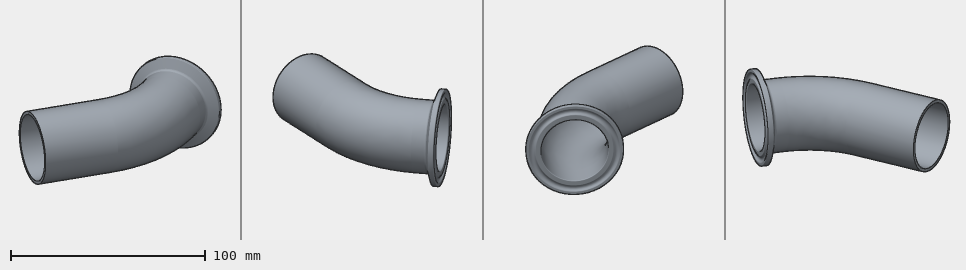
import cadquery as cq
import math

overall_length = 107.0
tube_radius = 38.1 / 2
bore_radius = 34.8 / 2
bend_radius = 57.1
bend_angle = 45.0

ferrule_length = 12.7
flange_radius = 50.4 / 2
rim_thickness = 2.8
cone_foot_depth = 5.1
face_edge_radius = 0.3
rim_back_radius = 0.3
cone_foot_radius = 1.4
bore_edge_radius = 0.4

groove_radius = 21.8
groove_mouth_width = 3.4
groove_floor_width = 2.1
groove_flank_angle = 45.0
groove_lip_radius = 0.5

angle = math.radians(bend_angle)
bend_reach = (bend_radius + ferrule_length) * math.sin(angle)
rim_reach = (flange_radius - face_edge_radius) * math.cos(angle)
edge_round_reach = face_edge_radius * (1 - math.sin(angle))
straight_length = overall_length - bend_reach - rim_reach - edge_round_reach


def bent_rod(radius):
    """Rod that starts at the origin, runs along +Y and then bends towards -X."""
    straight = cq.Workplane("XZ").circle(radius).extrude(-straight_length)
    bend = (
        cq.Workplane("XZ", origin=(0, straight_length, 0))
        .circle(radius)
        .revolve(bend_angle, (-bend_radius, 0), (-bend_radius, 1))
    )
    return straight.union(bend)


def circle_edges(body, radius, y):
    """Circular edges of the given radius about the Y axis, lying at height y."""
    tolerance = 0.01
    return body.edges("%CIRCLE").filter(
        lambda edge: abs(edge.radius() - radius) < tolerance
        and abs(edge.Center().y - y) < tolerance
    )


def gasket_groove():
    """Ring cut into the ferrule face: sloping flanks that run smoothly into a round floor."""
    half_mouth = groove_mouth_width / 2
    half_floor = groove_floor_width / 2
    flank_angle = math.radians(groove_flank_angle)
    floor_edge = ferrule_length - (half_mouth - half_floor) * math.tan(flank_angle)
    floor_bottom = floor_edge - half_floor * math.tan(flank_angle / 2)
    return (
        cq.Workplane("XY")
        .moveTo(groove_radius - half_mouth, ferrule_length)
        .lineTo(groove_radius - half_floor, floor_edge)
        .threePointArc((groove_radius, floor_bottom), (groove_radius + half_floor, floor_edge))
        .lineTo(groove_radius + half_mouth, ferrule_length)
        .close()
        .revolve(360, (0, 0), (0, 1))
    )


def ferrule():
    """Ferrule along the Y axis, with its weld end at the origin and its face towards +Y."""
    rim_back = ferrule_length - rim_thickness
    cone_foot = ferrule_length - cone_foot_depth
    body = (
        cq.Workplane("XY")
        .moveTo(bore_radius, 0)
        .lineTo(tube_radius, 0)
        .lineTo(tube_radius, cone_foot)
        .lineTo(flange_radius, rim_back)
        .lineTo(flange_radius, ferrule_length)
        .lineTo(bore_radius, ferrule_length)
        .close()
        .revolve(360, (0, 0), (0, 1))
        .cut(gasket_groove())
    )
    rounded_edges = [
        (flange_radius, ferrule_length, face_edge_radius),
        (flange_radius, rim_back, rim_back_radius),
        (tube_radius, cone_foot, cone_foot_radius),
        (bore_radius, ferrule_length, bore_edge_radius),
        (groove_radius - groove_mouth_width / 2, ferrule_length, groove_lip_radius),
        (groove_radius + groove_mouth_width / 2, ferrule_length, groove_lip_radius),
    ]
    for edge_radius, y, rounding in rounded_edges:
        body = circle_edges(body, edge_radius, y).fillet(rounding)
    return body


elbow = bent_rod(tube_radius).cut(bent_rod(bore_radius))
bend_end = (
    -bend_radius * (1 - math.cos(angle)),
    straight_length + bend_radius * math.sin(angle),
    0,
)
placed_ferrule = ferrule().rotate((0, 0, 0), (0, 0, 1), bend_angle).translate(bend_end)

result = elbow.union(placed_ferrule)